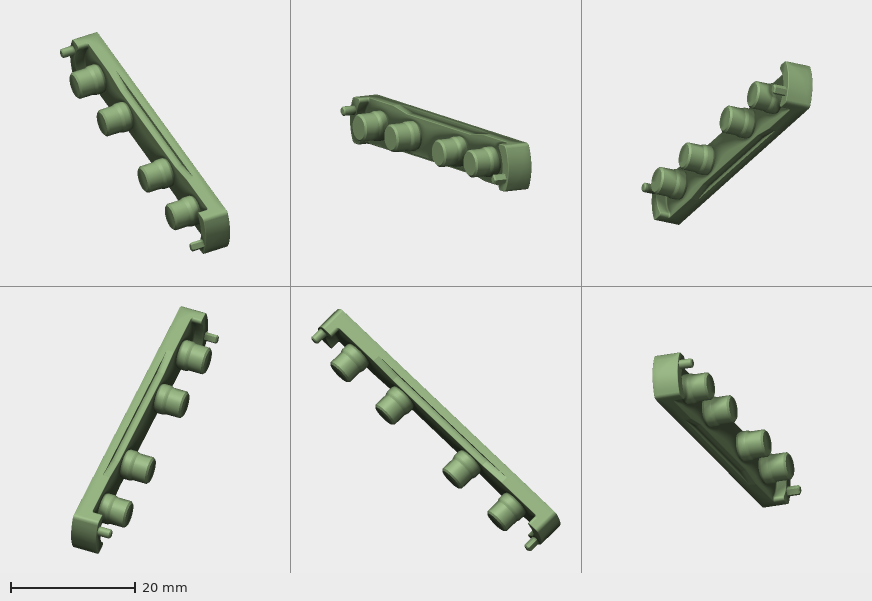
import cadquery as cq
import math

length = 50.8
height = 7.6
wall_depth = 4.35
plate_depth = 2.6
overall_depth = 7.15

end_radius = 7.6
corner_fillet = 0.75
edge_rounding = 0.1

wall_thickness = 1.95
wall_inner_radius = 4.55
wall_tip_fillet = 0.5
wall_root_fillet = 0.25

recess_floor_depth = 1.35
recess_cut = 0.65
recess_half_long = 14.55
recess_half_flat = 10.15

peg_positions = (-17.8, -7.6, 7.6, 17.8)
peg_base_radius = 2.3
collar_radius = 2.45
collar_edge_radius = 2.4
shaft_radius = 2.25
collar_start = 3.0
collar_end = 4.0
collar_edge = 4.2
shaft_start = 4.55
peg_tip_chamfer = 0.3

pin_x = 24.15
pin_z = 1.65
pin_radius = 0.75
pin_depth = 6.5
pin_tip_chamfer = 0.2
land_half_width = 0.25

half_length = length / 2
half_height = height / 2
selection_margin = 0.05


def front_plane(depth):
    """Sketch plane parallel to the back face, drawing in X and Z and extruding toward -Y."""
    return cq.Workplane("XZ", origin=(0, -depth, 0))


def sagitta(radius, half_chord):
    return radius - math.sqrt(radius**2 - half_chord**2)


def make_bar():
    corner_x = half_length - sagitta(end_radius, half_height)
    bar = (
        front_plane(0)
        .moveTo(-corner_x, half_height)
        .lineTo(corner_x, half_height)
        .threePointArc((half_length, 0), (corner_x, -half_height))
        .lineTo(-corner_x, -half_height)
        .threePointArc((-half_length, 0), (-corner_x, half_height))
        .close()
        .extrude(wall_depth)
    )
    bar = bar.edges("|Y").fillet(corner_fillet)
    return bar.faces(">Y").edges().fillet(edge_rounding)


def make_pocket():
    """Space between the end walls, widened beyond the edges so that it rounds the wall tips."""
    inner_x = half_length - wall_thickness
    tip_x = inner_x - sagitta(wall_inner_radius, half_height)
    outside_z = height
    pocket = (
        front_plane(plate_depth)
        .moveTo(-half_length, outside_z)
        .lineTo(half_length, outside_z)
        .lineTo(half_length, half_height)
        .lineTo(tip_x, half_height)
        .threePointArc((inner_x, 0), (tip_x, -half_height))
        .lineTo(half_length, -half_height)
        .lineTo(half_length, -outside_z)
        .lineTo(-half_length, -outside_z)
        .lineTo(-half_length, -half_height)
        .lineTo(-tip_x, -half_height)
        .threePointArc((-inner_x, 0), (-tip_x, half_height))
        .lineTo(-half_length, half_height)
        .close()
        .extrude(overall_depth)
    )
    inside = cq.selectors.BoxSelector(
        (-inner_x, -plate_depth - overall_depth, -half_height - selection_margin),
        (inner_x, 0, half_height + selection_margin),
    )
    pocket = pocket.edges("|Y").edges(inside).fillet(wall_tip_fillet)
    return pocket.faces(">Y").edges().fillet(wall_root_fillet)


def make_recess(side):
    """Shallow trapezoid cut from the front of the plate, at the top (side 1) or bottom (side -1)."""
    floor_z = half_height - recess_cut
    slope = recess_cut / (recess_half_long - recess_half_flat)
    outside_z = height
    outside_half_long = recess_half_flat + (outside_z - floor_z) / slope
    return (
        front_plane(recess_floor_depth)
        .moveTo(-outside_half_long, side * outside_z)
        .lineTo(-recess_half_flat, side * floor_z)
        .lineTo(recess_half_flat, side * floor_z)
        .lineTo(outside_half_long, side * outside_z)
        .close()
        .extrude(plate_depth - recess_floor_depth)
    )


def make_peg(x):
    """Round peg with a collar, turned about an axis along Y and rooted inside the plate."""
    root = -plate_depth / 2
    peg = (
        cq.Workplane("XY", origin=(x, 0, 0))
        .moveTo(0, root)
        .lineTo(peg_base_radius, root)
        .lineTo(peg_base_radius, -plate_depth)
        .lineTo(collar_radius, -collar_start)
        .lineTo(collar_radius, -collar_end)
        .lineTo(collar_edge_radius, -collar_edge)
        .lineTo(shaft_radius, -shaft_start)
        .lineTo(shaft_radius, -overall_depth)
        .lineTo(0, -overall_depth)
        .close()
        .revolve(360, (0, 0, 0), (0, 1, 0))
    )
    return peg.faces("<Y").edges().chamfer(peg_tip_chamfer)


def make_round_pin():
    pin = (
        front_plane(plate_depth)
        .center(-pin_x, pin_z)
        .circle(pin_radius)
        .extrude(pin_depth - plate_depth)
    )
    return pin.faces("<Y").edges().chamfer(pin_tip_chamfer)


def make_diamond_pin():
    """Six-sided pin with narrow lands at the top and bottom and points at the sides."""
    pin = (
        front_plane(plate_depth)
        .center(pin_x, -pin_z)
        .moveTo(-land_half_width, pin_radius)
        .lineTo(land_half_width, pin_radius)
        .lineTo(pin_radius, 0)
        .lineTo(land_half_width, -pin_radius)
        .lineTo(-land_half_width, -pin_radius)
        .lineTo(-pin_radius, 0)
        .close()
        .extrude(pin_depth - plate_depth)
    )
    return pin.faces("<Y").edges().chamfer(pin_tip_chamfer)


def round_front_edges(bar):
    """Soften the front outline of the end walls, then the straight front edges of the plate."""
    bar = bar.faces("<Y").edges().fillet(edge_rounding)
    plate_front = cq.selectors.BoxSelector(
        (-half_length, -plate_depth - selection_margin, -half_height),
        (half_length, -plate_depth + selection_margin, half_height),
    )
    straight_edges = bar.faces(plate_front).edges("%LINE").vals()
    return bar.newObject(straight_edges).fillet(edge_rounding)


result = make_bar().cut(make_pocket())
for side in (1, -1):
    result = result.cut(make_recess(side))
result = round_front_edges(result)
for x in peg_positions:
    result = result.union(make_peg(x))
result = result.union(make_round_pin()).union(make_diamond_pin())